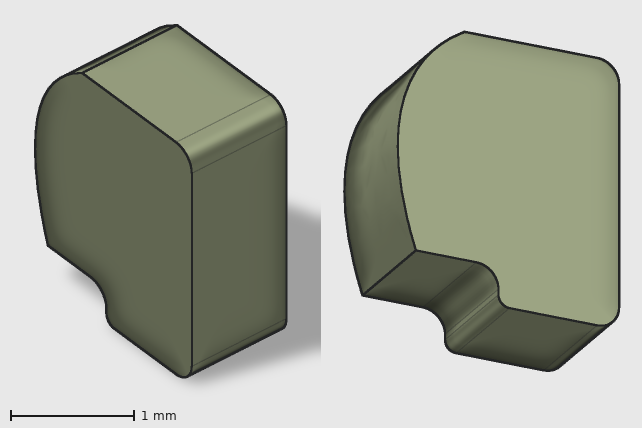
import cadquery as cq

width = 2.0
depth = 1.0
height = 2.38

top_edge_x = 0.602
upper_pull = (0.424, 2.275)
lower_pull = (-0.325, 1.842)
heel_x = 0.165

step_x = 0.91
step_z = 0.35

corner_radius = 0.2
step_inner_radius = 0.2
step_outer_radius = 0.1

profile = (
    cq.Workplane("XZ")
    .moveTo(step_x, 0)
    .lineTo(width, 0)
    .lineTo(width, height)
    .lineTo(top_edge_x, height)
    .bezier([upper_pull, lower_pull, (heel_x, step_z)], includeCurrent=True)
    .lineTo(step_x, step_z)
    .close()
)
body = profile.extrude(-depth)


def round_edge(solid, x, z, radius):
    """Round the edge along Y that passes through (x, z)."""
    edge = cq.selectors.NearestToPointSelector((x, depth / 2, z))
    return solid.edges("|Y").edges(edge).fillet(radius)


body = round_edge(body, width, 0, corner_radius)
body = round_edge(body, width, height, corner_radius)
body = round_edge(body, step_x, step_z, step_inner_radius)
body = round_edge(body, step_x, 0, step_outer_radius)

result = body